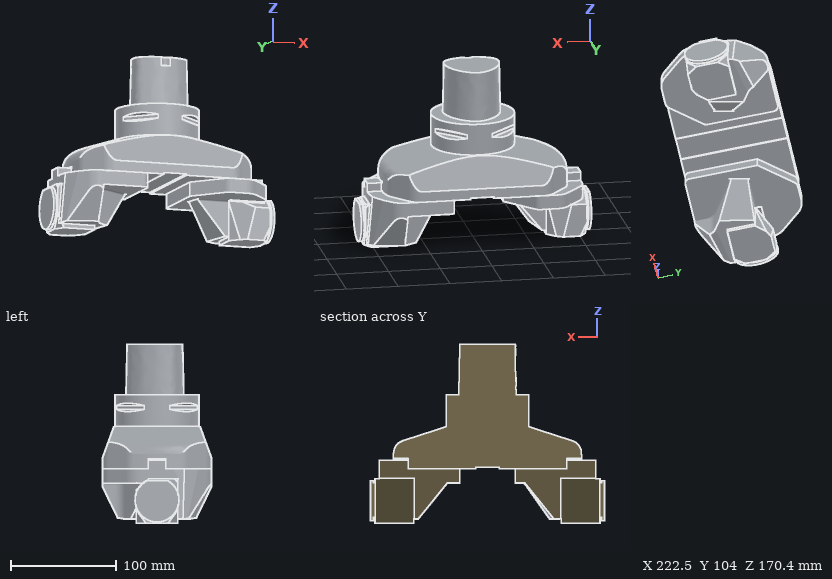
import cadquery as cq
import math

HALF_WIDTH = 104.0 / 2
CORNER_RADIUS = 15.1
BIG = 267.1
TOLERANCE = 0.2

HOUSING_RADIUS = 90.0
HOUSING_TOP = 40.3
ROOF_ANGLE = 18.1
ROOF_EDGE_RADIUS = 13.4
CHAMFER_START_X = 65.2
CHAMFER_END_Y = 26.5
END_CORNER_RADIUS = 15.5
SIDE_WALL_HEIGHT = 10.2
SIDE_SLOPE_ANGLE = 20.0
RELIEF_LENGTH = 22.3
RELIEF_DEPTH = 1.3

COLLAR_RADIUS = 80.0 / 2
COLLAR_TOP = 70.5
GROOVE_ANGLES = (45, 135, 225, 315)
GROOVE_Z = 58.3
GROOVE_DEPTH = 4.5
GROOVE_FLOOR = 3.5
GROOVE_MOUTH = 8.0

SHANK_TOP = 118.5
SHANK_BASE_RADIUS = 27.5
SHANK_TOP_RADIUS = 53.2 / 2
SHANK_LOBE = 2.0
SHANK_POINTS = 36
NOTCH_RADIUS = 5.3
NOTCH_HEIGHT = 8.2
NOTCH_DEPTH = 2.7

KEY_WIDTH = 17.0
KEY_HEIGHT = 8.2
KEY_SLOT_HEIGHT = 9.5
KEY_INNER_X = 75.7

PLATE_FRONT_CORNER = (-81.3, -HALF_WIDTH)
FRONT_CORNER_SLOPE = 1.075
SLIDE_OUTER_X = 103.0
SLIDE_INNER_X = 26.3
PLATE_THICKNESS = 13.5
PLATE_BACK_CORNER = (-78.8, HALF_WIDTH)
PLATE_END_CORNER = (-SLIDE_OUTER_X, 23.2)
PLATE_INNER_FRONT = (-SLIDE_INNER_X, -HALF_WIDTH)
PLATE_INNER_BACK = (-SLIDE_INNER_X, 19.4)
PLATE_INNER_SLANT = (-53.6, HALF_WIDTH)
PLATE_INNER_RADIUS = 5.0
PLATE_OUTER_RADIUS = 20.0
PLATE_BACK_RADIUS = 6.7

FOOT_BOTTOM = -47.9
FOOT_WALL_X = -72.1
FOOT_RECESS_CORNER = (FOOT_WALL_X, -34.3)
FOOT_RECESS_RADIUS = 11.1
FOOT_INNER_POINT = (-29.0, -3.8)
FOOT_BACK_Y = 7.3
FOOT_OUTER_X = 106.9
BLEND_INNER_X = -42.3
FOOT_FILLET = 1.5
LIP_DEPTH = 1.3
LIP_BACK_Y = 13.5

FOOT_INNER_SLOPE = ((-59.2, -25.2, -48.0), (-35.0, -8.0, -13.5), (-66.1, FOOT_BACK_Y, -48.0))
FOOT_UNDERCUT = ((-101.7, -30.3, -47.0), (FOOT_WALL_X, -HALF_WIDTH, -17.0), (FOOT_WALL_X, -37.5, -46.7))
FOOT_RIM = ((-101.7, -30.3, -47.0), (FOOT_WALL_X, -37.5, -46.7), (-89.0, -26.7, FOOT_BOTTOM))
SLIDE_END_FACE = ((-SLIDE_OUTER_X, -15.4, 0), (-101.5, -26.0, 0), (-105.0, -26.0, -46.7))
SLIDE_CORNER_FACE = ((-101.5, -26.0, 0), (-93.0, -39.5, 0), (-101.7, -30.3, -46.7))

CARTRIDGE_HALF = 39.8 / 2
CARTRIDGE_TOP = -9.3
CARTRIDGE_BOTTOM = -51.9
CARTRIDGE_OUTER_X = 107.0
CARTRIDGE_INNER_X = 70.0
BACK_EDGE_TOP_Y = FOOT_BACK_Y
BACK_EDGE_LOW_Z = -20.3
LOW_CORNER_X = 100.6
LOW_CORNER_Y = 10.5
LOW_CORNER_Z = -38.7
TOP_CORNER_X = 104.5
TOP_CORNER_Y = -16.5
TOP_CORNER_Z = -13.0
TAIL_TOP_X = 92.2
TAIL_BOTTOM_X = 84.4
TAIL_TIP_Z = -15.4
TAIL_BEVEL = (78.4, 17.0)
DISC_RADIUS = 21.0
DISC_Z = -29.5
DISC_FLAT_Z = -11.4
DISC_INNER_X = 108.5
DISC_OUTER_X = 222.5 / 2
NECK_RADIUS = 17.8


def block(x_min, x_max, y_min, y_max, z_min, z_max):
    size = (x_max - x_min, y_max - y_min, z_max - z_min)
    return cq.Workplane("XY").box(*size, centered=False).translate((x_min, y_min, z_min))


def half_space(points, outside):
    """Large block on the 'outside' side of the plane through three points."""
    first, second, third = (cq.Vector(*point) for point in points)
    normal = (second - first).cross(third - first)
    if normal.dot(cq.Vector(*outside)) < 0:
        normal = normal * -1
    return cq.Workplane(cq.Plane(origin=first, normal=normal)).rect(BIG, BIG).extrude(BIG / 2)


def edges_in(x_range, y_range, z_range):
    """Selector for the edges whose centre lies in the given ranges."""
    return cq.selectors.BoxSelector(*zip(x_range, y_range, z_range))


def round_upright_edges(solid, corners, z):
    """Fillet the upright edge nearest to each (corner, radius)."""
    for (x, y), radius in corners:
        solid = solid.edges(cq.selectors.NearestToPointSelector((x, y, z))).fillet(radius)
    return solid


def housing_plan():
    end_x = math.sqrt(HOUSING_RADIUS ** 2 - CHAMFER_END_Y ** 2)
    prism = (
        cq.Workplane("XY")
        .moveTo(-CHAMFER_START_X, -HALF_WIDTH)
        .lineTo(CHAMFER_START_X, -HALF_WIDTH)
        .lineTo(end_x, -CHAMFER_END_Y)
        .threePointArc((HOUSING_RADIUS, 0), (end_x, CHAMFER_END_Y))
        .lineTo(CHAMFER_START_X, HALF_WIDTH)
        .lineTo(-CHAMFER_START_X, HALF_WIDTH)
        .lineTo(-end_x, CHAMFER_END_Y)
        .threePointArc((-HOUSING_RADIUS, 0), (-end_x, -CHAMFER_END_Y))
        .close()
        .extrude(HOUSING_TOP)
    )
    corners = []
    for x_sign in (-1, 1):
        for y_sign in (-1, 1):
            corners.append(((x_sign * CHAMFER_START_X, y_sign * HALF_WIDTH), CORNER_RADIUS))
            corners.append(((x_sign * end_x, y_sign * CHAMFER_END_Y), END_CORNER_RADIUS))
    return round_upright_edges(prism, corners, HOUSING_TOP / 2)


def housing_roof():
    """Turned roof: cone, rounded edge and cylinder."""
    rim_z = HOUSING_TOP - (HOUSING_RADIUS - COLLAR_RADIUS) * math.tan(math.radians(ROOF_ANGLE))
    profile = (
        cq.Workplane("XZ")
        .moveTo(0, 0)
        .lineTo(HOUSING_RADIUS, 0)
        .lineTo(HOUSING_RADIUS, rim_z)
        .lineTo(COLLAR_RADIUS, HOUSING_TOP)
        .lineTo(0, HOUSING_TOP)
        .close()
    )
    roof = profile.revolve(360, (0, 0), (0, 1))
    rim = edges_in((-BIG, BIG), (-BIG, BIG), (rim_z - TOLERANCE, rim_z + TOLERANCE))
    return roof.edges("%CIRCLE").edges(rim).fillet(ROOF_EDGE_RADIUS)


def housing_sides():
    """Cross-section with the leaning long sides."""
    rise = HOUSING_TOP - SIDE_WALL_HEIGHT
    top_y = HALF_WIDTH - rise * math.tan(math.radians(SIDE_SLOPE_ANGLE))
    section = [
        (-HALF_WIDTH, 0),
        (HALF_WIDTH, 0),
        (HALF_WIDTH, SIDE_WALL_HEIGHT),
        (top_y, HOUSING_TOP),
        (-top_y, HOUSING_TOP),
        (-HALF_WIDTH, SIDE_WALL_HEIGHT),
    ]
    return cq.Workplane("YZ").polyline(section).close().extrude(HOUSING_RADIUS, both=True)


def collar():
    ring = cq.Workplane("XY").workplane(offset=HOUSING_TOP).circle(COLLAR_RADIUS)
    ring = ring.extrude(COLLAR_TOP - HOUSING_TOP)
    floor_x = COLLAR_RADIUS - GROOVE_DEPTH
    groove = (
        cq.Workplane("XZ")
        .polyline([
            (floor_x, GROOVE_Z - GROOVE_FLOOR / 2),
            (COLLAR_RADIUS, GROOVE_Z - GROOVE_MOUTH / 2),
            (COLLAR_RADIUS, GROOVE_Z + GROOVE_MOUTH / 2),
            (floor_x, GROOVE_Z + GROOVE_FLOOR / 2),
        ])
        .close()
        .extrude(COLLAR_RADIUS, both=True)
    )
    for angle in GROOVE_ANGLES:
        ring = ring.cut(groove.rotate((0, 0, 0), (0, 0, 1), angle))
    return ring


def lobed_points(radius):
    """Points of a three-lobed constant-width curve with one lobe toward +Y."""
    points = []
    for i in range(SHANK_POINTS):
        angle = 2 * math.pi * i / SHANK_POINTS
        lobe_angle = 3 * (angle - math.pi / 2)
        reach = radius + SHANK_LOBE * math.cos(lobe_angle)
        slope = -3 * SHANK_LOBE * math.sin(lobe_angle)
        x = reach * math.cos(angle) - slope * math.sin(angle)
        y = reach * math.sin(angle) + slope * math.cos(angle)
        points.append((x, y))
    return points


def shank():
    body = (
        cq.Workplane("XY")
        .workplane(offset=COLLAR_TOP)
        .spline(lobed_points(SHANK_BASE_RADIUS), periodic=True)
        .close()
        .workplane(offset=SHANK_TOP - COLLAR_TOP)
        .spline(lobed_points(SHANK_TOP_RADIUS), periodic=True)
        .close()
        .loft(ruled=True)
    )
    flat_y = SHANK_LOBE - SHANK_TOP_RADIUS
    notch = (
        cq.Workplane("XY")
        .workplane(offset=SHANK_TOP - NOTCH_HEIGHT)
        .center(0, flat_y + NOTCH_DEPTH - NOTCH_RADIUS)
        .circle(NOTCH_RADIUS)
        .extrude(NOTCH_HEIGHT)
    )
    return body.cut(notch)


def make_housing():
    base = housing_plan().intersect(housing_roof()).intersect(housing_sides())
    half_key = KEY_WIDTH / 2
    for x_min, x_max in ((-BIG, -KEY_INNER_X), (KEY_INNER_X, BIG)):
        base = base.cut(block(x_min, x_max, -half_key, half_key, 0, KEY_SLOT_HEIGHT))
    half_relief = RELIEF_LENGTH / 2
    base = base.cut(block(-half_relief, half_relief, -BIG, BIG, 0, RELIEF_DEPTH))
    return base.union(collar()).union(shank())


def front_corner_point(x):
    corner_x, corner_y = PLATE_FRONT_CORNER
    return (x, corner_y + (corner_x - x) * FRONT_CORNER_SLOPE)


def slide_plate():
    plate = (
        cq.Workplane("XY")
        .polyline([
            front_corner_point(-SLIDE_OUTER_X),
            PLATE_FRONT_CORNER,
            PLATE_INNER_FRONT,
            PLATE_INNER_BACK,
            PLATE_INNER_SLANT,
            PLATE_BACK_CORNER,
            PLATE_END_CORNER,
        ])
        .close()
        .extrude(-PLATE_THICKNESS)
    )
    corners = (
        (PLATE_FRONT_CORNER, CORNER_RADIUS),
        (PLATE_INNER_FRONT, PLATE_INNER_RADIUS),
        (PLATE_INNER_SLANT, PLATE_BACK_RADIUS),
        (PLATE_BACK_CORNER, CORNER_RADIUS),
        (PLATE_END_CORNER, PLATE_OUTER_RADIUS),
    )
    return round_upright_edges(plate, corners, -PLATE_THICKNESS / 2)


def slide_foot():
    foot = (
        cq.Workplane("XY")
        .workplane(offset=CARTRIDGE_TOP)
        .polyline([
            front_corner_point(-FOOT_OUTER_X),
            PLATE_FRONT_CORNER,
            (FOOT_WALL_X, -HALF_WIDTH),
            FOOT_RECESS_CORNER,
            FOOT_INNER_POINT,
            (FOOT_INNER_POINT[0], FOOT_BACK_Y),
            (-FOOT_OUTER_X, FOOT_BACK_Y),
        ])
        .close()
        .extrude(FOOT_BOTTOM - CARTRIDGE_TOP)
    )
    mid_z = (FOOT_BOTTOM + CARTRIDGE_TOP) / 2
    corners = ((PLATE_FRONT_CORNER, CORNER_RADIUS), (FOOT_RECESS_CORNER, FOOT_RECESS_RADIUS))
    foot = round_upright_edges(foot, corners, mid_z)
    foot = foot.cut(half_space(FOOT_INNER_SLOPE, (1, 0, 0)))
    foot = foot.cut(half_space(FOOT_UNDERCUT, (0, -1, -1)))
    return foot.cut(half_space(FOOT_RIM, (0, 0, -1)))


def cartridge_blank():
    """Block with its upper back edge cut off; it also shapes the pocket in the slide."""
    blank = block(
        -CARTRIDGE_OUTER_X, -CARTRIDGE_INNER_X,
        -CARTRIDGE_HALF, CARTRIDGE_HALF,
        CARTRIDGE_BOTTOM, CARTRIDGE_TOP,
    )
    back_edge = (
        (-CARTRIDGE_OUTER_X, CARTRIDGE_HALF, BACK_EDGE_LOW_Z),
        (-CARTRIDGE_INNER_X, CARTRIDGE_HALF, BACK_EDGE_LOW_Z),
        (-CARTRIDGE_INNER_X, BACK_EDGE_TOP_Y, CARTRIDGE_TOP),
    )
    return blank.cut(half_space(back_edge, (0, 1, 1)))


def make_slide():
    slide = slide_plate().union(slide_foot())
    underside = -PLATE_THICKNESS
    blend = edges_in(
        (FOOT_WALL_X - TOLERANCE, BLEND_INNER_X),
        (-HALF_WIDTH + TOLERANCE, FOOT_BACK_Y + TOLERANCE),
        (underside - TOLERANCE, underside + TOLERANCE),
    )
    slide = slide.edges(blend).fillet(FOOT_FILLET)
    lip = block(
        -SLIDE_OUTER_X, -CARTRIDGE_INNER_X, 0, LIP_BACK_Y, underside - LIP_DEPTH, underside
    )
    slide = slide.union(lip)
    slide = slide.cut(half_space(SLIDE_END_FACE, (-1, 0, 0)))
    slide = slide.cut(half_space(SLIDE_CORNER_FACE, (-1, -1, 0)))
    slide = slide.cut(cartridge_blank())
    key = block(-SLIDE_OUTER_X, -KEY_INNER_X, -KEY_WIDTH / 2, KEY_WIDTH / 2, 0, KEY_HEIGHT)
    return slide.union(key)


def lower_corner(side):
    """Cut of the lower corner at the disc end, on the -Y (-1) or +Y (1) side."""
    return half_space((
        (-CARTRIDGE_OUTER_X, side * CARTRIDGE_HALF, LOW_CORNER_Z),
        (-CARTRIDGE_OUTER_X, side * LOW_CORNER_Y, CARTRIDGE_BOTTOM),
        (-LOW_CORNER_X, side * CARTRIDGE_HALF, CARTRIDGE_BOTTOM),
    ), (-1, side, -1))


def upper_corner():
    return half_space((
        (-CARTRIDGE_OUTER_X, -CARTRIDGE_HALF, TOP_CORNER_Z),
        (-CARTRIDGE_OUTER_X, TOP_CORNER_Y, CARTRIDGE_TOP),
        (-TOP_CORNER_X, -CARTRIDGE_HALF, CARTRIDGE_TOP),
    ), (-1, -1, 1))


def tail_taper():
    return half_space((
        (-TAIL_TOP_X, CARTRIDGE_HALF, BACK_EDGE_LOW_Z),
        (-TAIL_BOTTOM_X, CARTRIDGE_HALF, CARTRIDGE_BOTTOM),
        (-CARTRIDGE_INNER_X, FOOT_BACK_Y, TAIL_TIP_Z),
    ), (0, 1, 0))


def tail_bevel():
    bevel_x, bevel_y = TAIL_BEVEL
    return half_space((
        (-CARTRIDGE_INNER_X, FOOT_BACK_Y, CARTRIDGE_TOP),
        (-CARTRIDGE_INNER_X, FOOT_BACK_Y, CARTRIDGE_BOTTOM),
        (-bevel_x, bevel_y, CARTRIDGE_BOTTOM),
    ), (1, 1, 0))


def make_cartridge():
    body = cartridge_blank()
    for cutter in (lower_corner(-1), lower_corner(1), upper_corner(), tail_taper(), tail_bevel()):
        body = body.cut(cutter)
    return body


def make_disc():
    face = cq.Workplane("YZ").center(0, DISC_Z)
    disc = face.workplane(offset=-DISC_OUTER_X).circle(DISC_RADIUS).extrude(DISC_OUTER_X - DISC_INNER_X)
    neck = face.workplane(offset=-DISC_INNER_X).circle(NECK_RADIUS).extrude(DISC_INNER_X - CARTRIDGE_OUTER_X)
    return disc.union(neck).cut(block(-BIG, 0, -BIG, BIG, DISC_FLAT_Z, BIG))


housing = make_housing()
bodies = [housing.val().Solids()[0]]
for angle in (0, 180):
    for part in (make_slide(), make_cartridge(), make_disc()):
        placed = part.rotate((0, 0, 0), (0, 0, 1), angle)
        bodies.append(placed.val().Solids()[0])

result = cq.Compound.makeCompound(bodies)